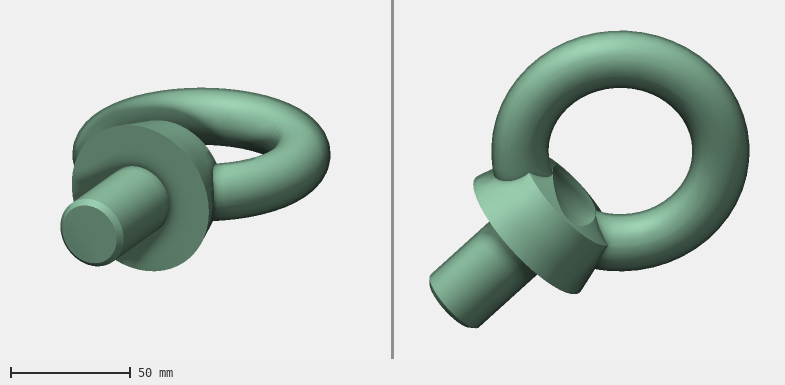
import cadquery as cq
import math

ring_outer_diameter = 107.9
total_length = 153.5

bore_diameter = 60.0
bar_diameter = (ring_outer_diameter - bore_diameter) / 2
ring_mean_radius = (bore_diameter + bar_diameter) / 2

shank_diameter = 30.0
shank_length = 45.1
tip_chamfer = 2.1
neck_chamfer = 2.1

collar_diameter = 65.0
collar_height = 24.0
collar_taper_angle = 15.0
crown_angle = 14.0

tip_y = ring_outer_diameter / 2 - total_length
collar_base_y = tip_y + shank_length
shoulder_y = collar_base_y + collar_height
collar_radius = collar_diameter / 2
shoulder_radius = collar_radius - collar_height * math.tan(math.radians(collar_taper_angle))
crown_height = shoulder_radius * math.tan(math.radians(crown_angle))
shank_radius = shank_diameter / 2


def revolve_about_y(points):
    """Turn a closed half-profile of (radius, y) points around the Y axis."""
    profile = cq.Workplane("XY").polyline(points).close()
    return profile.revolve(360, (0, 0, 0), (0, 1, 0))


def make_ring():
    """Round bar swept about Z, starting from the section buried in the collar."""
    section = cq.Workplane("YZ").center(-ring_mean_radius, 0).circle(bar_diameter / 2)
    return section.revolve(360, (ring_mean_radius, 0, 0), (ring_mean_radius, 1, 0))


def make_collar():
    """Tapered collar whose crown is cut back flush with the ring bore."""
    collar = revolve_about_y([
        (0, collar_base_y),
        (collar_radius, collar_base_y),
        (shoulder_radius, shoulder_y),
        (0, shoulder_y + crown_height),
    ])
    bore = cq.Workplane("XY").circle(bore_diameter / 2).extrude(collar_radius, both=True)
    return collar.cut(bore)


def make_shank():
    """Plain shank, chamfered at its tip and where it meets the collar."""
    return revolve_about_y([
        (0, tip_y),
        (shank_radius - tip_chamfer, tip_y),
        (shank_radius, tip_y + tip_chamfer),
        (shank_radius, collar_base_y - neck_chamfer),
        (shank_radius - neck_chamfer, collar_base_y),
        (0, collar_base_y),
    ])


result = make_collar().union(make_shank()).union(make_ring())